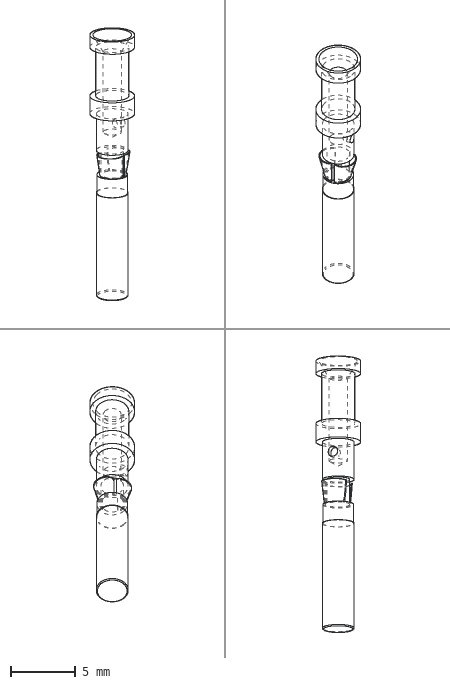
import cadquery as cq
import math

total_height = 21.5
head_bottom = 20.5
flange_top = 16.5
flange_bottom = 15.0
neck_top = 12.0
barb_top = 11.75
collar_top = 10.0
collar_bottom = 8.5

flange_diameter = 3.5
barrel_diameter = 2.6
waist_diameter = 2.47
body_diameter = 2.5
neck_diameter = 1.78
collar_diameter = 2.4
tip_chamfer = 0.09

funnel_diameter = 3.0
funnel_angle = 60.0
bore_diameter = 1.42
bore_depth = 8.0
drill_point_angle = 118.0

inspection_diameter = 0.8
inspection_height = 14.0

barb_outer_radius = 1.03
barb_wall = 0.09
barb_base_shift = 0.06
barb_lean_x = 0.05
barb_lean_y = 0.47
wide_gap = 1.23
narrow_gap = 0.22


def turned_body():
    """Solid pin without its bore, stacked from the tip up to the head."""
    sections = [
        (body_diameter, 0, collar_bottom),
        (collar_diameter, collar_bottom, collar_top),
        (neck_diameter, collar_top, neck_top),
        (waist_diameter, neck_top, flange_bottom),
        (flange_diameter, flange_bottom, flange_top),
        (barrel_diameter, flange_top, head_bottom),
        (flange_diameter, head_bottom, total_height),
    ]
    outline = cq.Workplane("XZ").moveTo(0, 0)
    for diameter, bottom, top in sections:
        outline = outline.lineTo(diameter / 2, bottom).lineTo(diameter / 2, top)
    body = outline.lineTo(0, total_height).close().revolve(360, (0, 0), (0, 1))
    return body.faces("<Z").edges().chamfer(tip_chamfer)


def wire_bore():
    """Revolved cutter for the funnel, the bore and its conical floor."""
    mouth_radius = funnel_diameter / 2
    bore_radius = bore_diameter / 2
    funnel_depth = (mouth_radius - bore_radius) / math.tan(math.radians(funnel_angle / 2))
    point_depth = bore_radius / math.tan(math.radians(drill_point_angle / 2))
    floor_height = total_height - bore_depth
    return (
        cq.Workplane("XZ")
        .moveTo(0, total_height)
        .lineTo(mouth_radius, total_height)
        .lineTo(bore_radius, total_height - funnel_depth)
        .lineTo(bore_radius, floor_height)
        .lineTo(0, floor_height - point_depth)
        .close()
        .revolve(360, (0, 0), (0, 1))
    )


def inspection_hole():
    """Radial cutter running from the pin axis out along +Y."""
    return (
        cq.Workplane("XZ")
        .center(0, inspection_height)
        .circle(inspection_diameter / 2)
        .extrude(-waist_diameter)
    )


def leaning_cylinder(radius):
    """Cylinder on top of the collar, sheared so that its upper end moves toward -Y and +X."""
    return (
        cq.Workplane("XY")
        .workplane(offset=collar_top)
        .center(barb_base_shift, 0)
        .circle(radius)
        .workplane(offset=barb_top - collar_top)
        .center(barb_lean_x, -barb_lean_y)
        .circle(radius)
        .loft(ruled=True)
    )


def barb():
    """The -Y barb, trimmed back to leave a wide gap on the -X side and a narrow one on +X."""
    reach = flange_diameter
    keep = (
        cq.Workplane("XY")
        .workplane(offset=collar_top)
        .polyline(
            [
                (-reach, -wide_gap / 2),
                (0, -wide_gap / 2),
                (0, -narrow_gap / 2),
                (reach, -narrow_gap / 2),
                (reach, -reach),
                (-reach, -reach),
            ]
        )
        .close()
        .extrude(barb_top - collar_top)
    )
    tube = leaning_cylinder(barb_outer_radius).cut(leaning_cylinder(barb_outer_radius - barb_wall))
    return tube.intersect(keep)


minus_y_barb = barb()
result = turned_body().union(minus_y_barb).union(minus_y_barb.mirror("XZ"))
result = result.cut(wire_bore()).cut(inspection_hole())